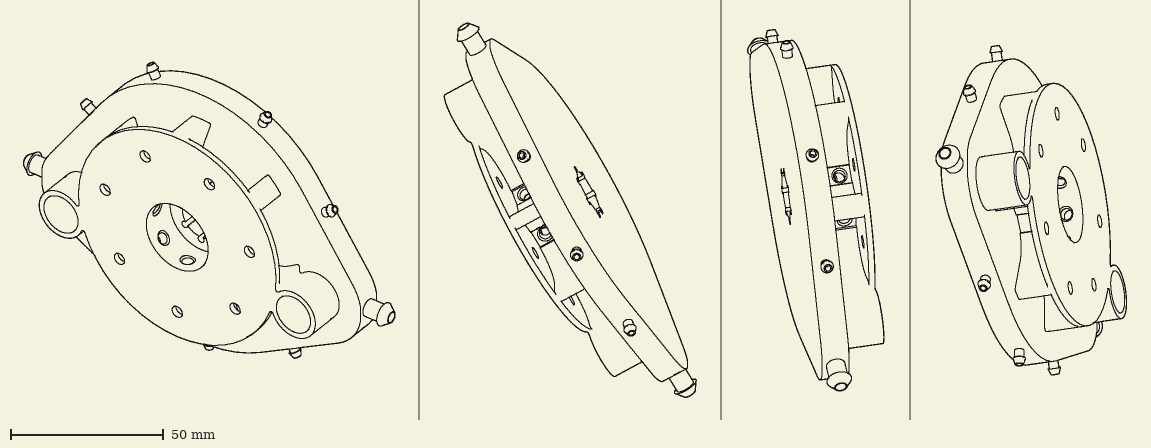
import cadquery as cq
import math

plate_depth = 9.0
body_depth = 11.1
cover_depth = 2.0
total_depth = plate_depth + body_depth + cover_depth

plate_radius = 50.0
lobe_radius = 17.7
pad_width = 6.5

tube_x = 47.1
tube_z = -11.0
tube_outer_radius = 8.9
tube_bore_radius = 7.0
tube_floor = 1.5

disc_radius = 40.0
bore_radius = 12.5
centre_hole_radius = 7.5
notch_radius = 1.2
notch_circle = 8.4
corner_fillet = 0.7

chamber_count = 7
chamber_circle = 30.0
chamber_radius = 12.4
pin_hole_radius = 2.0
neck_floor = 17.1
neck_width = 6.2
mouth_swings = [0, -29, 19, 8, -8, -19, 29]

port_radius = 1.9
port_mouth_radius = 2.5
port_rim_drop = 0.1
port_height = 7.4

nipple_length = 4.9
nipple_shaft_radius = 1.6
nipple_barb_radius = 2.0
nipple_tip_radius = 1.3
nipple_tip_length = 2.0
nipple_bore_radius = 0.9
edge_nipple_offset = 10.8

hose_end_x = 73.9
hose_shaft_radius = 3.1
hose_barb_radius = 4.1
hose_tip_radius = 2.0
hose_tip_length = 3.0
hose_bore_radius = 1.8

overlap = 1.5
tolerance = 0.01

chamber_angles = [-90 + index * 360 / chamber_count for index in range(chamber_count)]
tube_centres = [(tube_x, tube_z), (-tube_x, tube_z)]

lobe_angle = math.degrees(math.atan2(tube_z, tube_x))
edge_spread = math.degrees(math.acos((plate_radius - lobe_radius) / math.hypot(tube_x, tube_z)))
upper_normal = lobe_angle + edge_spread
lower_normal = lobe_angle - edge_spread

radial_nipple_angles = [chamber_angles[0], chamber_angles[3], chamber_angles[4]]
nipple_places = [(angle, 0) for angle in radial_nipple_angles] + [
    (upper_normal, -edge_nipple_offset),
    (180 - upper_normal, edge_nipple_offset),
    (lower_normal, edge_nipple_offset),
    (180 - lower_normal, -edge_nipple_offset),
]

plate_pad_distance = math.sqrt(plate_radius**2 - (pad_width / 2) ** 2)
lobe_pad_distance = math.sqrt(lobe_radius**2 - (pad_width / 2) ** 2)


def polar(radius, angle, centre=(0, 0)):
    """Point (x, z) at a radius and an angle in degrees around a centre."""
    turn = math.radians(angle)
    return (centre[0] + radius * math.cos(turn), centre[1] + radius * math.sin(turn))


def disc(y, depth, radius, centre=(0, 0)):
    """Round solid from the plane at y towards the front (-Y)."""
    return cq.Workplane("XZ", origin=(0, y, 0)).center(*centre).circle(radius).extrude(depth)


def aim(shape, angle):
    """Turn a shape lying along +X to an angle in the XZ plane."""
    return shape.rotate((0, 0, 0), (0, 1, 0), -angle)


def bar_along_x(start, length, width):
    """Body-deep bar lying along +X, centred on it."""
    return cq.Workplane("XZ").center(start + length / 2, 0).rect(length, width).extrude(body_depth)


def revolve_along_x(outline):
    """Solid of revolution about the X axis from (x, radius) points."""
    return cq.Workplane("XY").polyline(outline).close().revolve(360, (0, 0, 0), (1, 0, 0))


def make_plate():
    upper = polar(plate_radius, upper_normal)
    lower = polar(plate_radius, lower_normal)
    lobe_upper = polar(lobe_radius, upper_normal, tube_centres[0])
    lobe_lower = polar(lobe_radius, lower_normal, tube_centres[0])
    lobe_end_x = tube_x + lobe_radius
    plate = (
        cq.Workplane("XZ", origin=(0, plate_depth, 0))
        .moveTo(*upper)
        .lineTo(*lobe_upper)
        .threePointArc((lobe_end_x, tube_z), lobe_lower)
        .lineTo(*lower)
        .threePointArc((0, -plate_radius), (-lower[0], lower[1]))
        .lineTo(-lobe_lower[0], lobe_lower[1])
        .threePointArc((-lobe_end_x, tube_z), (-lobe_upper[0], lobe_upper[1]))
        .lineTo(-upper[0], upper[1])
        .threePointArc((0, plate_radius), upper)
        .close()
        .extrude(plate_depth)
    )
    pad_cut = cq.Workplane("XY").box(overlap, plate_depth, pad_width)
    pad_cut = pad_cut.translate((overlap / 2, plate_depth / 2, 0))
    for angle in radial_nipple_angles:
        plate = plate.cut(aim(pad_cut.translate((plate_pad_distance, 0, 0)), angle))
    side_cut = pad_cut.translate((tube_x + lobe_pad_distance, 0, tube_z))
    return plate.cut(side_cut).cut(side_cut.mirror("YZ"))


def is_on_rim(edge):
    """True for an edge along Y that lies on the disc rim."""
    middle = edge.Center()
    return abs(math.hypot(middle.x, middle.z) - disc_radius) < tolerance


def is_inner_corner(edge):
    """True where the disc rim meets a tube."""
    middle = edge.Center()
    tube_distance = math.hypot(abs(middle.x) - tube_x, middle.z - tube_z)
    return is_on_rim(edge) and abs(tube_distance - tube_outer_radius) < tolerance


def make_footprint(y, depth):
    """Disc joined to both tubes, with rounded inner corners."""
    footprint = disc(y, depth, disc_radius)
    for centre in tube_centres:
        footprint = footprint.union(disc(y, depth, tube_outer_radius, centre))
    return footprint.edges("|Y").filter(is_inner_corner).fillet(corner_fillet)


def make_chamber(angle, swing):
    """Round chamber with a swung mouth to the outside and a flat-ended neck towards the bore."""
    centre = polar(chamber_circle, angle)
    mouth = aim(bar_along_x(0, 2 * chamber_radius, 2 * chamber_radius), angle + swing)
    neck = aim(bar_along_x(neck_floor, chamber_circle - neck_floor, neck_width), angle)
    chamber = disc(0, body_depth, chamber_radius, centre)
    return chamber.union(mouth.translate((centre[0], 0, centre[1]))).union(neck)


def make_body():
    body = make_footprint(0, body_depth)
    for angle, swing in zip(chamber_angles, mouth_swings):
        body = body.cut(make_chamber(angle, swing))
    rim_edges = body.edges("|Y").filter(is_on_rim)
    return rim_edges.fillet(corner_fillet)


def make_port():
    """Port along +X, widened by a short cone at both ends."""
    flare = port_mouth_radius - port_radius
    inner = bore_radius - port_rim_drop
    port = revolve_along_x(
        [
            (bore_radius - overlap, 0),
            (bore_radius - overlap, port_mouth_radius),
            (inner, port_mouth_radius),
            (inner + flare, port_radius),
            (neck_floor - flare, port_radius),
            (neck_floor, port_mouth_radius),
            (neck_floor + overlap, port_mouth_radius),
            (neck_floor + overlap, 0),
        ]
    )
    return port.translate((0, -port_height, 0))


def make_nipple(start, end, shaft_radius, barb_radius, tip_radius, tip_length):
    """Barbed nipple along +X at mid-depth of the plate."""
    barb_x = end - tip_length
    nipple = revolve_along_x(
        [
            (start, 0),
            (start, shaft_radius),
            (barb_x, shaft_radius),
            (barb_x, barb_radius),
            (end, tip_radius),
            (end, 0),
        ]
    )
    return nipple.translate((0, plate_depth / 2, 0))


def make_bore(start, end, radius):
    """Round hole along +X at mid-depth of the plate."""
    return cq.Workplane("YZ", origin=(start, plate_depth / 2, 0)).circle(radius).extrude(end - start)


part = make_plate().union(make_body()).union(make_footprint(-body_depth, cover_depth))

part = part.cut(disc(0, total_depth, bore_radius)).cut(disc(plate_depth, plate_depth, centre_hole_radius))
for angle in chamber_angles:
    part = part.cut(disc(plate_depth, plate_depth, notch_radius, polar(notch_circle, angle)))

for angle in chamber_angles:
    part = part.cut(disc(-body_depth, cover_depth, pin_hole_radius, polar(chamber_circle, angle)))
    part = part.cut(aim(make_port(), angle))

for centre in tube_centres:
    part = part.cut(disc(plate_depth - tube_floor, total_depth, tube_bore_radius, centre))

nipple_end = plate_radius + nipple_length
nipple = make_nipple(
    plate_pad_distance - overlap,
    nipple_end,
    nipple_shaft_radius,
    nipple_barb_radius,
    nipple_tip_radius,
    nipple_tip_length,
)
nipple_bore = make_bore(plate_pad_distance, nipple_end, nipple_bore_radius)
for angle, shift in nipple_places:
    part = part.union(aim(nipple.translate((0, 0, shift)), angle))
    part = part.cut(aim(nipple_bore.translate((0, 0, shift)), angle))

hose = make_nipple(
    tube_x + lobe_pad_distance - overlap,
    hose_end_x,
    hose_shaft_radius,
    hose_barb_radius,
    hose_tip_radius,
    hose_tip_length,
).translate((0, 0, tube_z))
hose_bore = make_bore(tube_x, hose_end_x, hose_bore_radius).translate((0, 0, tube_z))
part = part.union(hose).union(hose.mirror("YZ"))
part = part.cut(hose_bore).cut(hose_bore.mirror("YZ"))

result = part